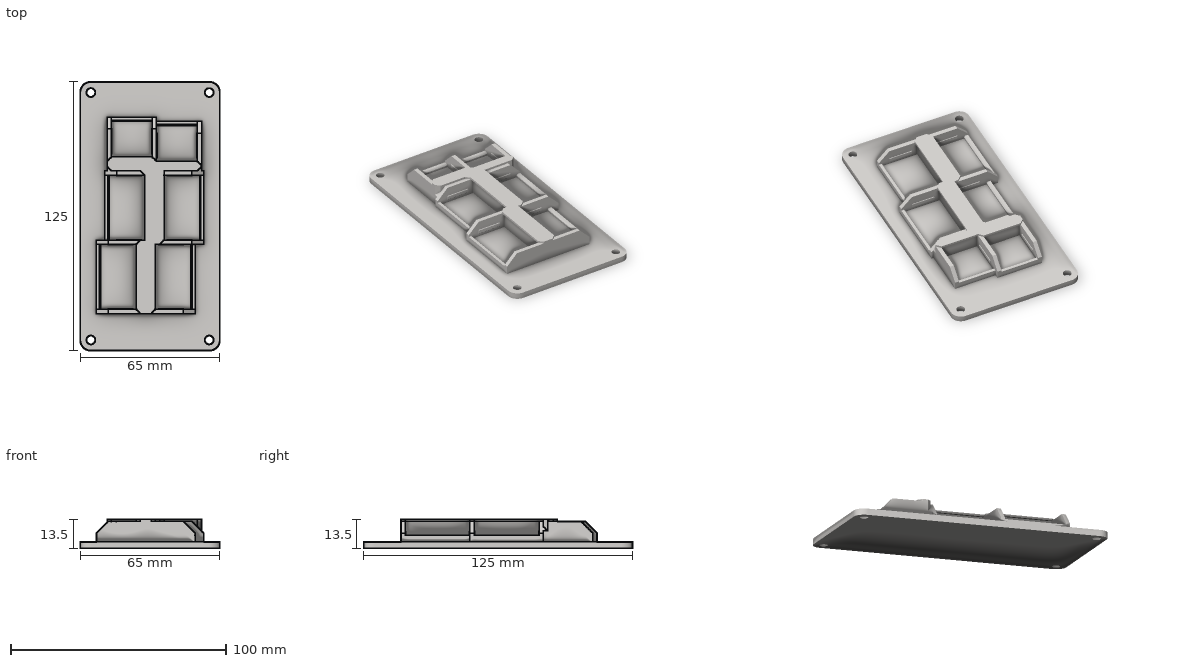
import cadquery as cq
PLATE_X = 65.0
PLATE_Y = 125.0
PLATE_T = 3.0
CORNER_R = 5.0
HOLE_D = 4.0
HOLE_INSET = 5.0

FLOOR_Z = 4.5
SILL_Z = 6.1
SHOULDER_Z = 7.0
RIB_Z = 12.5
TOP_Z = 13.5

RIB_T = 2.0
RIB_CHAMFER = RIB_Z - SHOULDER_Z
BAY_DEPTH = 18.5
CAP_OVERHANG = 1.3

SPINE_W = 9.0
ROW_PITCH = 32.15
BLOCK_Y0 = -45.2
LOWER_SPINE_X = -6.5
UPPER_SPINE_X = -2.5

HEAD_X0 = -19.95
HEAD_BAY_W = 18.95
HEAD_Y1 = 46.1
HEAD_SETBACK = 2.0

SILL_W = 1.4
SILL_CHAMFER = 0.6

BEAD_OFFSET = 1.5
BEAD_L = 11.5
BEAD_Z0 = 5.9
BEAD_Z1 = 8.0
BEAD_OUT = 0.25

lower_y0 = BLOCK_Y0
middle_y0 = lower_y0 + ROW_PITCH
upper_y0 = middle_y0 + ROW_PITCH
block_y1 = upper_y0 + RIB_T
bay_w = ROW_PITCH - RIB_T

lower_left = LOWER_SPINE_X
lower_right = lower_left + SPINE_W
upper_left = UPPER_SPINE_X
upper_right = upper_left + SPINE_W

head_pitch = HEAD_BAY_W + RIB_T
head_x1 = HEAD_X0 + 2 * head_pitch + RIB_T
head_back_y = HEAD_Y1 - BAY_DEPTH


def box(x0, x1, y0, y1, z0, z1):
    return cq.Workplane("XY").box(x1 - x0, y1 - y0, z1 - z0, centered=False).translate((x0, y0, z0))


def base_plate():
    plate = cq.Workplane("XY").rect(PLATE_X, PLATE_Y).extrude(PLATE_T).edges("|Z").fillet(CORNER_R)
    holes = (
        cq.Workplane("XY")
        .rect(PLATE_X - 2 * HOLE_INSET, PLATE_Y - 2 * HOLE_INSET, forConstruction=True)
        .vertices()
        .circle(HOLE_D / 2)
        .extrude(PLATE_T)
    )
    return plate.cut(holes)


def cross_rib(x0, x1, y0, y1):
    """Rib along X with both of its upper ends chamfered."""
    outline = [
        (x0, PLATE_T),
        (x1, PLATE_T),
        (x1, SHOULDER_Z),
        (x1 - RIB_CHAMFER, RIB_Z),
        (x0 + RIB_CHAMFER, RIB_Z),
        (x0, SHOULDER_Z),
    ]
    return cq.Workplane("XZ", origin=(0, y1, 0)).polyline(outline).close().extrude(y1 - y0)


def side_rib(x0, y0, y1):
    """Rib along Y with its +Y upper end chamfered."""
    outline = [
        (y0, PLATE_T),
        (y1, PLATE_T),
        (y1, SHOULDER_Z),
        (y1 - RIB_CHAMFER, RIB_Z),
        (y0, RIB_Z),
    ]
    return cq.Workplane("YZ", origin=(x0, 0, 0)).polyline(outline).close().extrude(RIB_T)


def bead(side):
    """Bead on a bay wall; the wall is the plane Y = 0 and the bead stands out along side * Y."""
    outline = [
        (0, BEAD_Z0),
        (side * BEAD_OUT, BEAD_Z0 + BEAD_OUT),
        (side * BEAD_OUT, BEAD_Z1 - BEAD_OUT),
        (0, BEAD_Z1),
    ]
    return cq.Workplane("YZ", origin=(BEAD_OFFSET, 0, 0)).polyline(outline).close().extrude(BEAD_L)


def bay(width):
    """Floor, sill and beads of a bay that opens towards +X, with its inner corner at the origin."""
    outline = [
        (0, PLATE_T),
        (BAY_DEPTH, PLATE_T),
        (BAY_DEPTH, SILL_Z),
        (BAY_DEPTH - SILL_W, SILL_Z),
        (BAY_DEPTH - SILL_W - SILL_CHAMFER, SILL_Z - SILL_CHAMFER),
        (BAY_DEPTH - SILL_W - SILL_CHAMFER, FLOOR_Z),
        (0, FLOOR_Z),
    ]
    tray = cq.Workplane("XZ", origin=(0, width, 0)).polyline(outline).close().extrude(width)
    return tray.union(bead(1)).union(bead(-1).translate((0, width, 0)))


def undercut(width):
    """Space below the overhanging cap at the inner end of a bay."""
    return box(-CAP_OVERHANG, 0, 0, width, FLOOR_Z, RIB_Z)


def top_layer():
    """Continuous spine and head, mitred at 45 degrees where the ribs meet it."""
    outline = [
        (lower_left + RIB_T, lower_y0),
        (lower_left, lower_y0 + RIB_T),
        (lower_left, middle_y0),
        (lower_left + RIB_T, middle_y0 + RIB_T),
        (upper_left, middle_y0 + RIB_T),
        (upper_left, upper_y0),
        (upper_left - RIB_T, block_y1),
        (HEAD_X0 + RIB_T, block_y1),
        (HEAD_X0, block_y1 + RIB_T),
        (HEAD_X0, head_back_y - RIB_T),
        (HEAD_X0 + RIB_T, head_back_y),
        (HEAD_X0 + head_pitch, head_back_y),
        (HEAD_X0 + head_pitch + RIB_T, head_back_y - HEAD_SETBACK),
        (head_x1 - RIB_T, head_back_y - HEAD_SETBACK),
        (head_x1, head_back_y - HEAD_SETBACK - RIB_T),
        (head_x1, block_y1 + RIB_T),
        (head_x1 - RIB_T, block_y1),
        (upper_right, block_y1),
        (upper_right, middle_y0 + RIB_T),
        (upper_right - RIB_T, middle_y0),
        (lower_right, middle_y0),
        (lower_right, lower_y0 + RIB_T),
        (lower_right - RIB_T, lower_y0),
    ]
    return cq.Workplane("XY", origin=(0, 0, PLATE_T)).polyline(outline).close().extrude(TOP_Z - PLATE_T)


def lower_block():
    lower_x0 = lower_left - BAY_DEPTH
    lower_x1 = lower_right + BAY_DEPTH
    upper_x0 = upper_left - BAY_DEPTH
    upper_x1 = upper_right + BAY_DEPTH
    block = cross_rib(lower_x0, lower_x1, lower_y0, lower_y0 + RIB_T)
    block = block.union(cross_rib(lower_x0, upper_x1, middle_y0, middle_y0 + RIB_T))
    block = block.union(cross_rib(upper_x0, upper_x1, upper_y0, block_y1))
    corner_fill = cross_rib(upper_x0, upper_x1, block_y1, block_y1 + RIB_T)
    block = block.union(corner_fill.intersect(box(HEAD_X0, head_x1, block_y1, block_y1 + RIB_T, 0, TOP_Z)))
    return block


def head_block():
    rib_y0 = block_y1 + RIB_T
    right_y1 = HEAD_Y1 - HEAD_SETBACK
    block = side_rib(HEAD_X0, rib_y0, HEAD_Y1)
    block = block.union(side_rib(HEAD_X0 + head_pitch, rib_y0, HEAD_Y1))
    block = block.union(side_rib(head_x1 - RIB_T, rib_y0, right_y1))
    return block


def bay_places():
    """Width, mirroring, turn about Z and inner corner of every bay."""
    places = []
    for left, right, rib_y0 in [(lower_left, lower_right, lower_y0), (upper_left, upper_right, middle_y0)]:
        places.append((bay_w, True, 0, (left, rib_y0 + RIB_T, 0)))
        places.append((bay_w, False, 0, (right, rib_y0 + RIB_T, 0)))
    for index in range(2):
        corner = (HEAD_X0 + (index + 1) * head_pitch, head_back_y - index * HEAD_SETBACK, 0)
        places.append((HEAD_BAY_W, False, 90, corner))
    return places


def place(shape, mirrored, turn, corner):
    if mirrored:
        shape = shape.mirror("YZ")
    return shape.rotate((0, 0, 0), (0, 0, 1), turn).translate(corner)


result = base_plate().union(top_layer()).union(lower_block()).union(head_block())
for width, mirrored, turn, corner in bay_places():
    result = result.union(place(bay(width), mirrored, turn, corner))
    result = result.cut(place(undercut(width), mirrored, turn, corner))